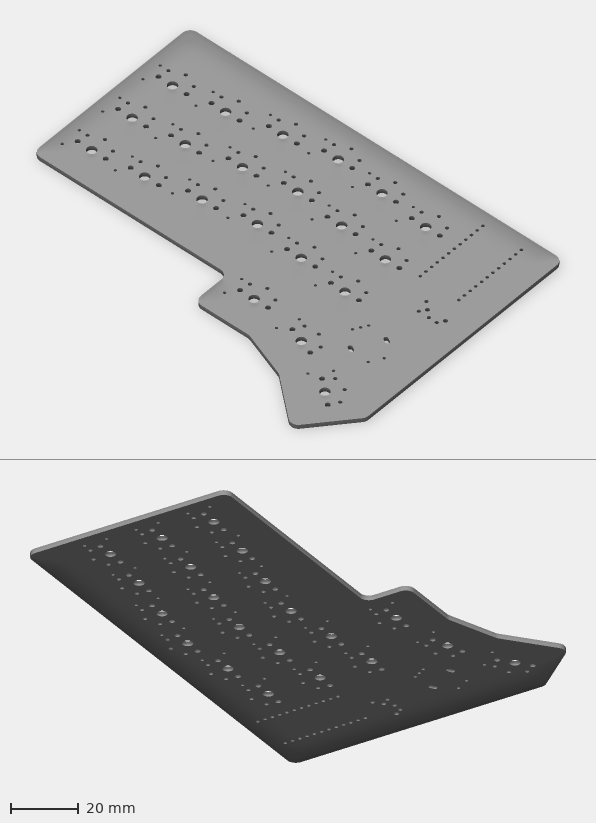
import cadquery as cq
import math


LENGTH = 147.2
WIDTH = 104.2
THICKNESS = 1.6
CORNER_RADIUS = 3.0
MAIN_EDGE_Y = 34.3
STEP_X = 76.8
THUMB_EDGE_Y = 19.3
FIRST_BEND_X = 98.5
TIP_X = 132.6
SLOPE_1 = 20.0
SLOPE_2 = 40.0

COLUMNS_SPAN = 95.2
ROWS_SPAN = 36.0
ROWS = 3
FIRST_COLUMN_X = 12.4
COLUMN_TOP_Y = [82.7, 84.8, 88.8, 91.8, 89.8, 87.7]
THUMB_KEYS = [
    (89.5, 31.6, 0.0),
    (111.5, 27.7, -SLOPE_1),
    (130.9, 16.3, -SLOPE_2),
]

SWITCH_CENTER_DIA = 3.4
SWITCH_PEG_DIA = 1.8
SWITCH_PEG_SPAN = 11.0
SWITCH_PIN_DIA = 1.27
SWITCH_PIN_Y = 5.9
SIDE_PIN_X = 5.0
SIDE_PIN_Y = 3.8
DIODE_DIA = 0.99
DIODE_X = -8.2
DIODE_Y = 3.8

HEADER_DIA = 1.09
HEADER_PINS = 12
HEADER_LENGTH = 28.0
HEADER_TOP_Y = 99.2
HEADER_ROWS_X = [120.0, 135.1]

JACK_PEG_DIA = 1.5
JACK_PEG_Y = 62.1
JACK_PEGS_X = [130.9, 137.9]
JACK_PIN_DIA = 1.27
JACK_PINS = [(128.3, 64.5), (129.4, 59.9), (133.4, 59.9), (136.5, 59.9)]

ENCODER_X = 127.5
ENCODER_Y = 39.7
ENCODER_ANGLE = -30.0
ENCODER_PIN_DIA = 1.0
ENCODER_PIN_X = -7.5
ENCODER_PIN_PITCH = 2.5
ENCODER_SWITCH_X = 6.9
ENCODER_SWITCH_Y = 2.5
ENCODER_SLOT_Y = 5.6
ENCODER_SLOT_LENGTH = 2.8
ENCODER_SLOT_WIDTH = 1.5


def place(points, x, y, angle):
    """Rotate points about the origin, then move them to (x, y)."""
    c = math.cos(math.radians(angle))
    s = math.sin(math.radians(angle))
    return [(x + c * px - s * py, y + s * px + c * py) for px, py in points]


def make_board():
    fall_1 = math.tan(math.radians(SLOPE_1))
    fall_2 = math.tan(math.radians(SLOPE_2))
    tip_rad = math.radians(SLOPE_2)
    tip_y = CORNER_RADIUS * (1 - math.sin(tip_rad) - math.cos(tip_rad))
    right_y = tip_y + (LENGTH - TIP_X) / fall_2
    bend_x = (tip_y + TIP_X * fall_2 - THUMB_EDGE_Y - FIRST_BEND_X * fall_1) / (fall_2 - fall_1)
    bend_y = THUMB_EDGE_Y - (bend_x - FIRST_BEND_X) * fall_1

    outline = [
        (0, WIDTH),
        (0, MAIN_EDGE_Y),
        (STEP_X, MAIN_EDGE_Y),
        (STEP_X, THUMB_EDGE_Y),
        (FIRST_BEND_X, THUMB_EDGE_Y),
        (bend_x, bend_y),
        (TIP_X, tip_y),
        (LENGTH, right_y),
        (LENGTH, WIDTH),
    ]
    plate = cq.Workplane("XY").polyline(outline).close().extrude(THICKNESS)
    return plate.edges("|Z").fillet(CORNER_RADIUS)


def pins(points, diameter):
    """Solid drill shapes running through the board."""
    return cq.Workplane("XY").pushPoints(points).circle(diameter / 2).extrude(THICKNESS)


def drill(board, points, diameter):
    return board.cut(pins(points, diameter))


def key_positions():
    column_pitch = COLUMNS_SPAN / (len(COLUMN_TOP_Y) - 1)
    row_pitch = ROWS_SPAN / (ROWS - 1)
    main_keys = [
        (FIRST_COLUMN_X + column * column_pitch, top_y - row * row_pitch, 0.0)
        for column, top_y in enumerate(COLUMN_TOP_Y)
        for row in range(ROWS)
    ]
    return main_keys + THUMB_KEYS


def drill_keys(board):
    hole_groups = [
        ([(0, 0)], SWITCH_CENTER_DIA),
        ([(-SWITCH_PEG_SPAN / 2, 0), (SWITCH_PEG_SPAN / 2, 0)], SWITCH_PEG_DIA),
        ([(0, SWITCH_PIN_Y), (-SIDE_PIN_X, SIDE_PIN_Y), (SIDE_PIN_X, SIDE_PIN_Y)], SWITCH_PIN_DIA),
        ([(DIODE_X, DIODE_Y), (DIODE_X, -DIODE_Y)], DIODE_DIA),
    ]
    for local_points, diameter in hole_groups:
        points = []
        for x, y, angle in key_positions():
            points += place(local_points, x, y, angle)
        board = drill(board, points, diameter)
    return board


def drill_header(board):
    pitch = HEADER_LENGTH / (HEADER_PINS - 1)
    points = [(x, HEADER_TOP_Y - i * pitch) for x in HEADER_ROWS_X for i in range(HEADER_PINS)]
    return drill(board, points, HEADER_DIA)


def drill_jack(board):
    board = drill(board, [(x, JACK_PEG_Y) for x in JACK_PEGS_X], JACK_PEG_DIA)
    return drill(board, JACK_PINS, JACK_PIN_DIA)


def cut_encoder(board):
    local_pins = [(ENCODER_PIN_X, i * ENCODER_PIN_PITCH) for i in (-1, 0, 1)]
    local_pins += [(ENCODER_SWITCH_X, side * ENCODER_SWITCH_Y) for side in (-1, 1)]
    board = drill(board, place(local_pins, ENCODER_X, ENCODER_Y, ENCODER_ANGLE), ENCODER_PIN_DIA)

    local_slots = [(0, ENCODER_SLOT_Y), (0, -ENCODER_SLOT_Y)]
    slots = (
        cq.Workplane("XY")
        .pushPoints(place(local_slots, ENCODER_X, ENCODER_Y, ENCODER_ANGLE))
        .slot2D(ENCODER_SLOT_LENGTH, ENCODER_SLOT_WIDTH, ENCODER_ANGLE)
        .extrude(THICKNESS)
    )
    return board.cut(slots)


result = make_board()
result = drill_keys(result)
result = drill_header(result)
result = drill_jack(result)
result = cut_encoder(result)